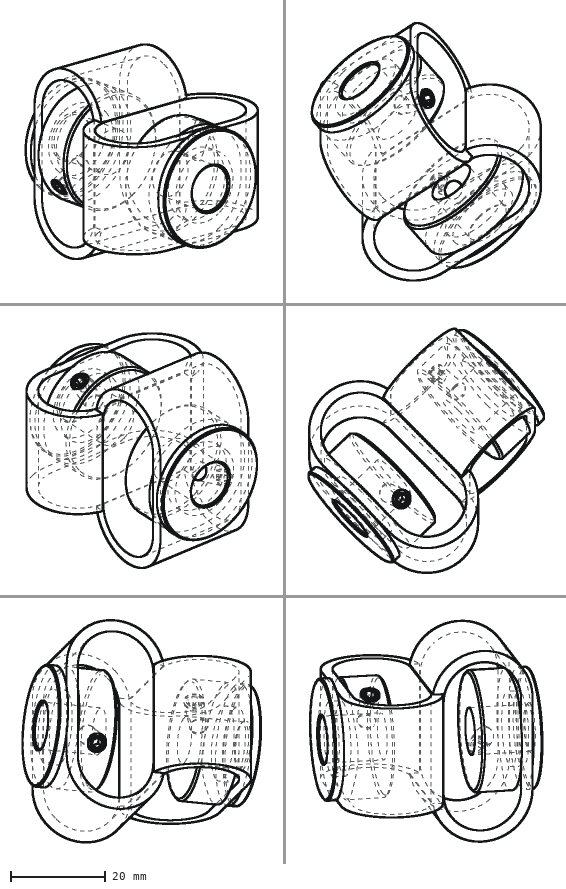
import cadquery as cq
import math


coupling_length = 45.0
loop_height = 42.0

wall = 2.5
loop_width = 21.75
loop_depth = 24.0

hub_diameter = 26.0
flange_thickness = 2.0
flange_chamfer = 0.3
collar_length = 8.5
collar_chamfer = 0.5
neck_diameter = 16.0
bore_diameter = 10.0
bore_chamfer = 0.35

screw_diameter = 4.0
screw_chamfer = 0.5
screw_setback = 4.0
screw_tilt = 30.0
socket_across_flats = 2.0
socket_depth = 2.5
socket_point_slope = 30.0
far_screw_turn = 30.0

flange_outer_x = -coupling_length / 2
loop_outer_x = flange_outer_x + flange_thickness
loop_inner_x = loop_outer_x + wall
collar_end_x = loop_inner_x + collar_length
loop_center_x = loop_outer_x + loop_width / 2
screw_x = collar_end_x - screw_setback
screw_length = (hub_diameter - bore_diameter) / 2


def to_other_side(body):
    """Half turn about the diagonal of the YZ plane: swaps the ends and crosses the loops."""
    return body.rotate((0, 0, 0), (0, 1, -1), 180)


def cylinder_x(diameter, start_x, end_x):
    """Cylinder on the shaft axis between two X stations."""
    return cq.Workplane("YZ").workplane(offset=start_x).circle(diameter / 2).extrude(end_x - start_x)


def oval(width, height):
    """Upright oval with full-round ends, as deep as the loop, at the -X loop's place."""
    return (
        cq.Workplane("XZ")
        .center(loop_center_x, 0)
        .slot2D(height, width, 90)
        .extrude(loop_depth / 2, both=True)
    )


def loop_cavity():
    return oval(loop_width - 2 * wall, loop_height - 2 * wall)


def make_loop():
    """One oval loop, with a round hole in its outer wall for the hub's neck."""
    neck_hole = cylinder_x(neck_diameter, loop_outer_x, loop_inner_x)
    return oval(loop_width, loop_height).cut(loop_cavity()).cut(neck_hole)


def make_spring():
    """Two crossed loops that share the wall at the middle of the coupling."""
    loop = make_loop()
    return loop.union(to_other_side(loop))


def on_screw_axis(body):
    """Move a body from the +Z direction to the tilted radial axis of the set screw."""
    tilt_from_z = 90 + screw_tilt
    return body.rotate((0, 0, 0), (1, 0, 0), tilt_from_z).translate((screw_x, 0, 0))


def screw_blank():
    """Plain cylinder from the bore to the outside of the hub."""
    return (
        cq.Workplane("XY")
        .workplane(offset=bore_diameter / 2)
        .circle(screw_diameter / 2)
        .extrude(screw_length)
    )


def make_hub():
    """Outer flange, neck through the loop wall, and inner collar, bored through for the shaft."""
    flange = (
        cylinder_x(hub_diameter, flange_outer_x, loop_outer_x)
        .faces("<X")
        .chamfer(flange_chamfer)
    )
    neck = cylinder_x(neck_diameter, loop_outer_x, loop_inner_x)
    collar = (
        cylinder_x(hub_diameter, loop_inner_x, collar_end_x)
        .faces(">X")
        .chamfer(collar_chamfer)
    )
    collar = collar.cut(make_loop())
    bore = cylinder_x(bore_diameter, flange_outer_x, collar_end_x)
    hub = flange.union(neck).union(collar).cut(bore)
    hub = hub.faces("<X").edges("%CIRCLE").edges(cq.selectors.RadiusNthSelector(0)).chamfer(bore_chamfer)
    screw_hole = cq.Workplane("XY").circle(screw_diameter / 2).extrude(hub_diameter)
    return hub.cut(on_screw_axis(screw_hole))


def make_socket():
    """Hexagon socket whose walls run down to a conical floor."""
    corner_radius = socket_across_flats / math.sqrt(3)
    point_height = corner_radius * math.tan(math.radians(socket_point_slope))
    mouth_z = hub_diameter / 2
    floor_z = mouth_z - socket_depth
    point_z = floor_z - point_height
    hexagon = (
        cq.Workplane("XY")
        .workplane(offset=point_z)
        .polygon(6, socket_across_flats, circumscribed=True)
        .extrude(mouth_z - point_z)
    )
    drilled = (
        cq.Workplane("XZ")
        .polyline([(0, point_z), (corner_radius, floor_z), (corner_radius, mouth_z), (0, mouth_z)])
        .close()
        .revolve(360, (0, 0, 0), (0, 1, 0))
    )
    return hexagon.intersect(drilled)


def make_screw(turn):
    """Set screw with a chamfered outer end, its socket turned about the screw axis in degrees."""
    screw = screw_blank().faces(">Z").chamfer(screw_chamfer).cut(make_socket())
    return on_screw_axis(screw.rotate((0, 0, 0), (0, 0, 1), turn))


spring = make_spring()
hub = make_hub()
hubs = [hub, to_other_side(hub)]
screws = [make_screw(0), to_other_side(make_screw(far_screw_turn))]

bodies = [spring, *hubs, *screws]
result = cq.Compound.makeCompound([body.val() for body in bodies])